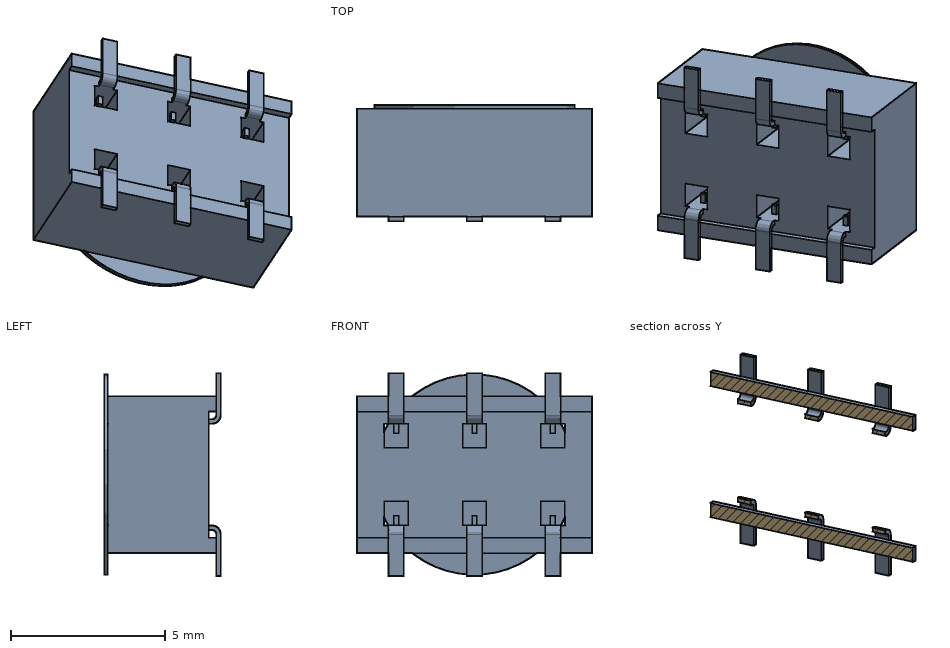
import cadquery as cq

HOUSING_LENGTH = 7.62
HOUSING_HEIGHT = 5.08
HOUSING_DEPTH = 3.505
RAIL_HEIGHT = 0.5
RAIL_DEPTH = 0.24

LEAD_COLUMNS = 3
LEAD_PITCH = 2.54
WINDOW_SIZE = 0.78
WINDOW_OUTER_Z = 1.645

LEAD_WIDTH = 0.5
LEAD_THICKNESS = 0.15
LEAD_BEND_RADIUS = 0.28
LEAD_TIP_SPAN = 6.58
LEAD_EMBEDDED_DEPTH = 0.5

TAB_WIDTH = 0.16
TAB_HEIGHT = 0.305

COVER_DIAMETER = 6.5
COVER_THICKNESS = 0.12

LEAD_TIP_Z = LEAD_TIP_SPAN / 2
LEAD_END_Y = RAIL_DEPTH + LEAD_EMBEDDED_DEPTH
COLUMN_X = [(i - (LEAD_COLUMNS - 1) / 2) * LEAD_PITCH for i in range(LEAD_COLUMNS)]


def box_between(x_range, y_range, z_range):
    """Box between the given limits on each axis."""
    (x0, x1), (y0, y1), (z0, z1) = x_range, y_range, z_range
    return cq.Workplane("XY").box(x1 - x0, y1 - y0, z1 - z0, centered=False).translate((x0, y0, z0))


def centered_range(size, middle=0.0):
    """Limits of a span of the given size around its middle."""
    return (middle - size / 2, middle + size / 2)


def make_shell():
    """Block whose front face is cut back between the two rails."""
    block = box_between(
        centered_range(HOUSING_LENGTH), (0, HOUSING_DEPTH), centered_range(HOUSING_HEIGHT)
    )
    front_recess = box_between(
        centered_range(HOUSING_LENGTH),
        (0, RAIL_DEPTH),
        centered_range(HOUSING_HEIGHT - 2 * RAIL_HEIGHT),
    )
    return block.cut(front_recess)


def make_window(x):
    """Cutter for the upper window of a column."""
    return box_between(
        centered_range(WINDOW_SIZE, x),
        (0, HOUSING_DEPTH),
        (WINDOW_OUTER_Z - WINDOW_SIZE, WINDOW_OUTER_Z),
    )


def make_lead(x):
    """Upper lead of a column: leg level with the window edge, bend, and foot against the rail."""
    inner_radius = LEAD_BEND_RADIUS - LEAD_THICKNESS
    bend_z = WINDOW_OUTER_Z + LEAD_BEND_RADIUS
    leg_outer_z = WINDOW_OUTER_Z + LEAD_THICKNESS
    return (
        cq.Workplane("YZ", origin=(x - LEAD_WIDTH / 2, 0, 0))
        .moveTo(LEAD_END_Y, WINDOW_OUTER_Z)
        .lineTo(inner_radius, WINDOW_OUTER_Z)
        .radiusArc((-LEAD_THICKNESS, bend_z), LEAD_BEND_RADIUS)
        .lineTo(-LEAD_THICKNESS, LEAD_TIP_Z)
        .lineTo(0, LEAD_TIP_Z)
        .lineTo(0, bend_z)
        .radiusArc((inner_radius, leg_outer_z), -inner_radius)
        .lineTo(LEAD_END_Y, leg_outer_z)
        .close()
        .extrude(LEAD_WIDTH)
    )


def make_tab(x):
    """Upper tab of a column, reaching into the window behind the end of the lead."""
    return box_between(
        centered_range(TAB_WIDTH, x),
        (LEAD_END_Y, LEAD_END_Y + LEAD_THICKNESS),
        (WINDOW_OUTER_Z - TAB_HEIGHT, WINDOW_OUTER_Z + LEAD_THICKNESS),
    )


def make_housing():
    """Housing with its six leads and tabs moulded in, alike above and below Z = 0."""
    housing = make_shell()
    for x in COLUMN_X:
        window = make_window(x)
        housing = housing.cut(window).cut(window.mirror("XY"))
    for x in COLUMN_X:
        for feature in (make_lead(x), make_tab(x)):
            housing = housing.union(feature).union(feature.mirror("XY"))
    return housing


def make_cover():
    """Thin disc lying on the back face of the housing."""
    disc = cq.Workplane("XZ").circle(COVER_DIAMETER / 2).extrude(-COVER_THICKNESS)
    return disc.translate((0, HOUSING_DEPTH, 0))


housing = make_housing()
cover = make_cover()
result = cq.Compound.makeCompound([housing.val(), cover.val()])